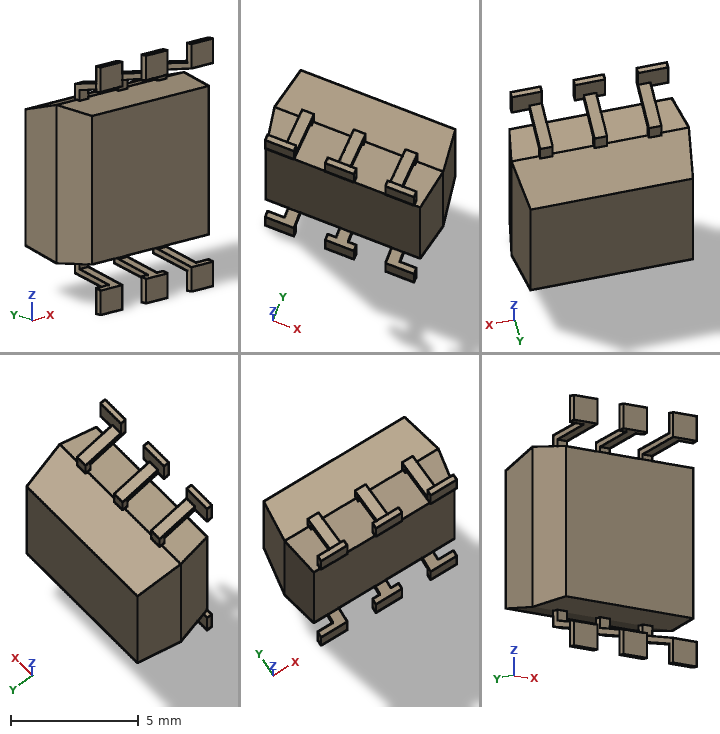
import cadquery as cq

body_width = 7.12
body_height = 6.4
face_width = 6.52
front_face_height = 6.0
front_depth = 1.65
back_depth = 2.0
back_face_top = 2.6
back_face_bottom = -2.9

overall_height = 10.0
lead_thickness = 0.25
lead_width = 0.5
foot_width = 1.21
foot_front = -2.0
outer_lead_edge = 1.93
shoulder_outer = 3.82
shoulder_inner = 3.61
heel_outer = 4.2
heel_inner = 4.01
lead_root = 2.8

lead_back = 0.1
lead_front = lead_back - lead_thickness
foot_back = foot_front + lead_thickness
slope = (heel_inner - shoulder_inner) / (lead_front - foot_front)
foot_heel_back = heel_inner - slope * lead_thickness


def body_half(depth, face_top, face_bottom):
    """Tapered half from the parting plane to a smaller face at Y = depth."""
    face_center = (face_top + face_bottom) / 2
    return (
        cq.Workplane("XZ")
        .rect(body_width, body_height)
        .workplane(offset=-depth)
        .center(0, face_center)
        .rect(face_width, face_top - face_bottom)
        .loft(ruled=True)
    )


def extrude_profile(points, x_start, width):
    """Extrude a closed YZ outline along X."""
    return cq.Workplane("YZ", origin=(x_start, 0, 0)).polyline(points).close().extrude(width)


def upper_lead(lead_start, foot_start):
    """Narrow bent lead with a wide flat foot, on the top side."""
    foot_top = overall_height / 2
    strip = [
        (lead_back, lead_root),
        (lead_back, shoulder_outer),
        (foot_back, heel_outer),
        (foot_back, foot_top),
        (foot_front, foot_top),
        (foot_front, heel_inner),
        (lead_front, shoulder_inner),
        (lead_front, lead_root),
    ]
    foot = [
        (foot_front, heel_inner),
        (foot_back, foot_heel_back),
        (foot_back, foot_top),
        (foot_front, foot_top),
    ]
    bent_strip = extrude_profile(strip, lead_start, lead_width)
    return bent_strip.union(extrude_profile(foot, foot_start, foot_width))


front_half = body_half(-front_depth, front_face_height / 2, -front_face_height / 2)
back_half = body_half(back_depth, back_face_top, back_face_bottom)
result = front_half.union(back_half)

lead_positions = [
    (-outer_lead_edge - lead_width, -outer_lead_edge - foot_width),
    (-lead_width / 2, -foot_width / 2),
    (outer_lead_edge, outer_lead_edge),
]
for lead_start, foot_start in lead_positions:
    lead = upper_lead(lead_start, foot_start)
    result = result.union(lead).union(lead.mirror("XY"))